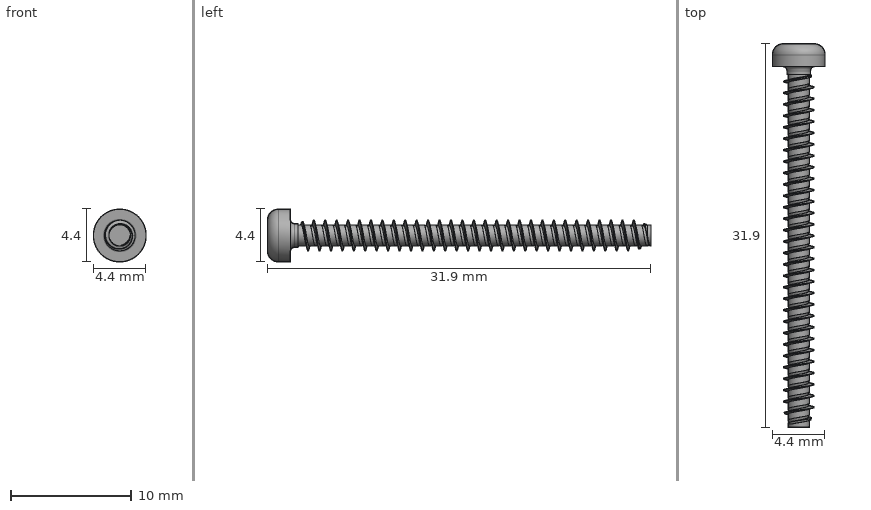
import cadquery as cq
total_length = 31.9
head_diameter = 4.4
head_height = 1.9
head_round = 0.93
tip_z = head_height - total_length

neck_radius = 1.0
neck_length = 0.65
neck_fillet = 0.35
core_radius = 0.9

thread_radius = 1.28
thread_turns = 32
helix_length = 30.4
helix_start_z = -30.2
pitch = helix_length / thread_turns

crest_half_width = 0.015
foot_half_width = 0.13
foot_radius = 0.75

relief_bottom_radius = 0.8
relief_bottom_height = 0.1
relief_rim_radius = 0.95
relief_inner_edge = 0.03
relief_outer_edge = 0.5
relief_turns = 30

full_thread_top_z = -1.28
full_thread_bottom_z = -28.55
tip_envelope_radius = 0.8


def make_body():
    """Head, filleted neck and core turned as one profile."""
    head_radius = head_diameter / 2
    diagonal = 0.5 ** 0.5
    head_arc_middle = (
        head_radius - head_round * (1 - diagonal),
        head_height - head_round * (1 - diagonal),
    )
    neck_arc_middle = (
        neck_radius + neck_fillet * (1 - diagonal),
        -neck_fillet * (1 - diagonal),
    )
    return (
        cq.Workplane("YZ")
        .moveTo(0, tip_z)
        .lineTo(core_radius, tip_z)
        .lineTo(core_radius, -neck_length)
        .lineTo(neck_radius, -neck_length)
        .lineTo(neck_radius, -neck_fillet)
        .threePointArc(neck_arc_middle, (neck_radius + neck_fillet, 0))
        .lineTo(head_radius, 0)
        .lineTo(head_radius, head_height - head_round)
        .threePointArc(head_arc_middle, (head_radius - head_round, head_height))
        .lineTo(0, head_height)
        .close()
        .revolve(360, (0, 0), (0, 1))
    )


def wind_section(section, turns):
    """Solid wound along the thread helix, with one ring of ruled faces per turn.

    The section lists (radius, height above the thread centreline) corners.
    """

    def section_points(base_z):
        return [cq.Vector(radius, 0, base_z + height) for radius, height in section]

    def section_cap(base_z):
        return cq.Face.makeFromWires(cq.Wire.makePolygon(section_points(base_z), close=True))

    def turn_faces(base_z):
        helices = [
            cq.Wire.makeHelix(pitch, pitch, point.x, cq.Vector(0, 0, point.z))
            for point in section_points(base_z)
        ]
        next_helices = helices[1:] + helices[:1]
        return [cq.Face.makeRuledSurface(first, second) for first, second in zip(helices, next_helices)]

    faces = [section_cap(helix_start_z), section_cap(helix_start_z + turns * pitch)]
    for turn in range(turns):
        faces += turn_faces(helix_start_z + turn * pitch)
    return cq.Workplane(cq.Solid.makeSolid(cq.Shell.makeShell(faces)))


def make_ridge():
    """Thread ridge at full height over the whole helix."""
    section = [
        (foot_radius, foot_half_width),
        (thread_radius, crest_half_width),
        (thread_radius, -crest_half_width),
        (foot_radius, -foot_half_width),
    ]
    return wind_section(section, thread_turns)


def make_relief():
    """Cutter for the relief groove, which stops short of the neck."""
    section = [
        (relief_bottom_radius, relief_bottom_height),
        (relief_rim_radius, relief_outer_edge),
        (relief_rim_radius, relief_inner_edge),
    ]
    return wind_section(section, relief_turns)


def make_thread_envelope():
    """Turned volume that limits the thread: cones at both ends, loose along the full-height part."""
    clearance = 0.32
    cone_top_z = -neck_length
    slope = (thread_radius - neck_radius) / (cone_top_z - full_thread_top_z)
    tip_slope = (thread_radius - tip_envelope_radius) / (full_thread_bottom_z - tip_z)
    outer_radius = thread_radius + clearance
    inside_neck_radius = (neck_radius + core_radius) / 2
    return (
        cq.Workplane("YZ")
        .moveTo(0, tip_z)
        .lineTo(tip_envelope_radius, tip_z)
        .lineTo(outer_radius, full_thread_bottom_z + clearance / tip_slope)
        .lineTo(outer_radius, full_thread_top_z - clearance / slope)
        .lineTo(neck_radius, cone_top_z)
        .lineTo(inside_neck_radius, cone_top_z + neck_length / 2)
        .lineTo(inside_neck_radius, head_height / 2)
        .lineTo(0, head_height / 2)
        .close()
        .revolve(360, (0, 0), (0, 1))
    )


relieved_body = make_body().cut(make_relief(), clean=False)
ridge = make_ridge().intersect(make_thread_envelope(), clean=False)
screw = relieved_body.union(ridge)

result = screw.rotate((0, 0, 0), (1, 0, 0), -90)